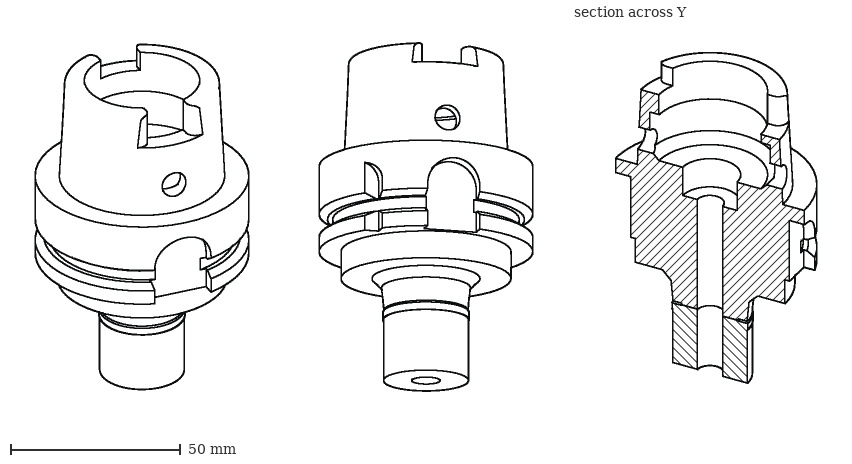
import cadquery as cq

nut_radius = 12.5
nut_height = 20.7
nut_collar_radius = 12.7
nut_collar_height = 2.2
through_hole_radius = 4.2

neck_radius = 9.5
neck_height = 0.6
nose_end_radius = 12.4
nose_root_radius = 13.1
nose_root_z = 28.1
hub_radius = 25.0
hub_z = 30.9
nose_flare_radius = nose_root_radius + (hub_z - nose_root_z)

flange_diameter = 63.0
flange_radius = flange_diameter / 2
flange_bottom_z = 39.1
flange_top_z = 65.0
groove_root_radius = 27.45
groove_wall_radius = 29.0
groove_bottom_z = 45.1
groove_top_z = 48.9
groove_bevel_height = 1.6

overall_height = 97.0
taper_base_radius = 24.3
taper_slope = 1 / 20
taper_top_radius = taper_base_radius - taper_slope * (overall_height - flange_top_z)
rim_fillet = 1.3

mouth_radius = 17.0
mouth_bottom_z = 84.0
cavity_radius = 20.0
cavity_bevel_z = 71.3
cavity_floor_z = cavity_bevel_z - (cavity_radius - mouth_radius)
socket_radius = 9.0
socket_depth = 9.7

cross_hole_radius = 3.8
cross_hole_z = 74.0

drive_half_width = 6.3
drive_relief_x = 20.8
drive_relief_half_width = 11.6
drive_corner_radius = 2.9
minus_x_drive_z = 91.0
plus_x_drive_z = 87.0

keyway_floor_x = 26.5
keyway_top_z = 59.9
minus_x_keyway_half_width = 8.0
plus_x_keyway_half_width = 9.0
notch_wall = 20.1
notch_half_width = 6.0


def make_nut():
    """Plain sleeve with a slightly wider collar at its upper end."""
    sleeve = cq.Workplane("XY").circle(nut_radius).extrude(nut_height)
    collar = (
        cq.Workplane("XY", origin=(0, 0, nut_height - nut_collar_height))
        .circle(nut_collar_radius)
        .extrude(nut_collar_height)
    )
    bore = cq.Workplane("XY").circle(through_hole_radius).extrude(nut_height)
    return sleeve.union(collar).cut(bore)


def make_holder_blank():
    """Turned outside of the holder, from the neck up to the rounded rim."""
    neck_top_z = nut_height + neck_height
    profile = [
        (0, nut_height),
        (neck_radius, nut_height),
        (neck_radius, neck_top_z),
        (nose_end_radius, neck_top_z),
        (nose_root_radius, nose_root_z),
        (nose_flare_radius, hub_z),
        (hub_radius, hub_z),
        (hub_radius, flange_bottom_z),
        (flange_radius, flange_bottom_z),
        (flange_radius, groove_bottom_z - groove_bevel_height),
        (groove_wall_radius, groove_bottom_z),
        (groove_root_radius, groove_bottom_z),
        (groove_root_radius, groove_top_z),
        (groove_wall_radius, groove_top_z),
        (flange_radius, groove_top_z + groove_bevel_height),
        (flange_radius, flange_top_z),
        (taper_base_radius, flange_top_z),
        (taper_top_radius, overall_height),
        (0, overall_height),
    ]
    blank = cq.Workplane("XZ").polyline(profile).close().revolve(360, (0, 0), (0, 1))
    return blank.faces(">Z").edges().fillet(rim_fillet)


def make_cavity():
    """Stepped central bore: mouth, wider clamping chamber, socket and through hole."""
    socket_floor_z = cavity_floor_z - socket_depth
    profile = [
        (0, nut_height),
        (through_hole_radius, nut_height),
        (through_hole_radius, socket_floor_z),
        (socket_radius, socket_floor_z),
        (socket_radius, cavity_floor_z),
        (mouth_radius, cavity_floor_z),
        (cavity_radius, cavity_bevel_z),
        (cavity_radius, mouth_bottom_z),
        (mouth_radius, mouth_bottom_z),
        (mouth_radius, overall_height),
        (0, overall_height),
    ]
    return cq.Workplane("XZ").polyline(profile).close().revolve(360, (0, 0), (0, 1))


def make_cross_hole():
    """Cylinder along X through the whole shank."""
    return (
        cq.Workplane("YZ")
        .center(0, cross_hole_z)
        .circle(cross_hole_radius)
        .extrude(taper_base_radius, both=True)
    )


def make_drive_slot(side, floor_z):
    """Rim slot on the given X side (-1 or 1); it widens outside the relief plane with rounded corners."""
    corner_x = side * (drive_relief_x - drive_corner_radius)
    corner_y = drive_half_width + drive_corner_radius
    relief_x = side * drive_relief_x
    outer_x = side * flange_radius
    return (
        cq.Workplane("XY", origin=(0, 0, floor_z))
        .moveTo(0, -drive_half_width)
        .lineTo(corner_x, -drive_half_width)
        .tangentArcPoint((relief_x, -corner_y), relative=False)
        .lineTo(relief_x, -drive_relief_half_width)
        .lineTo(outer_x, -drive_relief_half_width)
        .lineTo(outer_x, drive_relief_half_width)
        .lineTo(relief_x, drive_relief_half_width)
        .lineTo(relief_x, corner_y)
        .tangentArcPoint((corner_x, drive_half_width), relative=False)
        .lineTo(0, drive_half_width)
        .close()
        .extrude(overall_height - floor_z)
    )


def make_flange_slot(side, floor_x, center_y, half_width):
    """Round-topped slot, open below the flange, cut along X from the given side down to floor_x."""
    arch_z = keyway_top_z - half_width
    return (
        cq.Workplane("YZ", origin=(side * floor_x, 0, 0))
        .moveTo(center_y - half_width, flange_bottom_z)
        .lineTo(center_y - half_width, arch_z)
        .threePointArc((center_y, keyway_top_z), (center_y + half_width, arch_z))
        .lineTo(center_y + half_width, flange_bottom_z)
        .close()
        .extrude(side * (flange_radius - floor_x))
    )


def make_holder():
    """Holder with its cavity, cross hole, drive slots, keyways and orientation notch."""
    cutters = [
        make_cavity(),
        make_cross_hole(),
        make_drive_slot(-1, minus_x_drive_z),
        make_drive_slot(1, plus_x_drive_z),
        make_flange_slot(-1, keyway_floor_x, 0, minus_x_keyway_half_width),
        make_flange_slot(1, keyway_floor_x, 0, plus_x_keyway_half_width),
        make_flange_slot(-1, notch_wall, notch_wall + notch_half_width, notch_half_width),
    ]
    holder = make_holder_blank()
    for cutter in cutters:
        holder = holder.cut(cutter)
    return holder


nut = make_nut()
holder = make_holder()
result = cq.Compound.makeCompound([holder.solids().val(), nut.solids().val()])